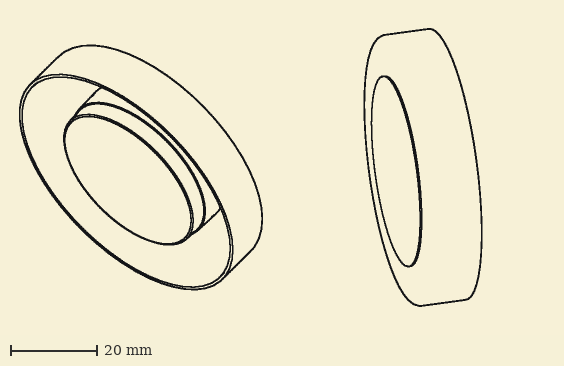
import cadquery as cq
import math

outer_radius = 31.75
wall = 0.75
inner_fillet = 0.75
outer_fillet = inner_fillet + wall
total_depth = 12.3
pad_height = 0.4
pad_radius = 22.3

hub_root_radius = 19.9
stage_taper = 0.2
step_width = 0.25
step_height = 0.2
tip_length = 3.75
shoulder_height = 0.2
lip_size = 0.3
hub_face_radius = 18.5
hub_recess = 0.4

rim_y = -total_depth / 2
pad_y = total_depth / 2
back_y = pad_y - pad_height
floor_y = back_y - wall
hub_face_y = rim_y + hub_recess
lip_y = hub_face_y + lip_size
shoulder_y = lip_y + shoulder_height
step_front_y = shoulder_y + tip_length
step_back_y = step_front_y + step_height


def disc(radius, start_y, end_y):
    """Solid disc about the Y axis from start_y to end_y."""
    return cq.Workplane("XZ", origin=(0, end_y, 0)).circle(radius).extrude(end_y - start_y)


def make_shell():
    """Thin cup with rounded outer and inner floor corners."""
    body = disc(outer_radius, rim_y, back_y).faces(">Y").edges().fillet(outer_fillet)
    cavity = disc(outer_radius - wall, rim_y, floor_y).faces(">Y").edges().fillet(inner_fillet)
    return body.cut(cavity)


def make_hub():
    """Tapered hub with a sloping step, a narrow shoulder and a rounded lip around its front face."""
    step_outer_radius = hub_root_radius - stage_taper
    step_inner_radius = step_outer_radius - step_width
    shoulder_radius = step_inner_radius - stage_taper
    lip_outer_radius = hub_face_radius + lip_size
    lip_middle = (
        hub_face_radius + lip_size * math.sin(math.pi / 4),
        lip_y - lip_size * math.cos(math.pi / 4),
    )
    return (
        cq.Workplane("XY")
        .moveTo(0, floor_y)
        .lineTo(hub_root_radius, floor_y)
        .lineTo(step_outer_radius, step_back_y)
        .lineTo(step_inner_radius, step_front_y)
        .lineTo(shoulder_radius, shoulder_y)
        .lineTo(lip_outer_radius, lip_y)
        .threePointArc(lip_middle, (hub_face_radius, hub_face_y))
        .lineTo(0, hub_face_y)
        .close()
        .revolve(360, (0, 0, 0), (0, 1, 0))
    )


pad = disc(pad_radius, back_y, pad_y)
result = make_shell().union(make_hub()).union(pad)